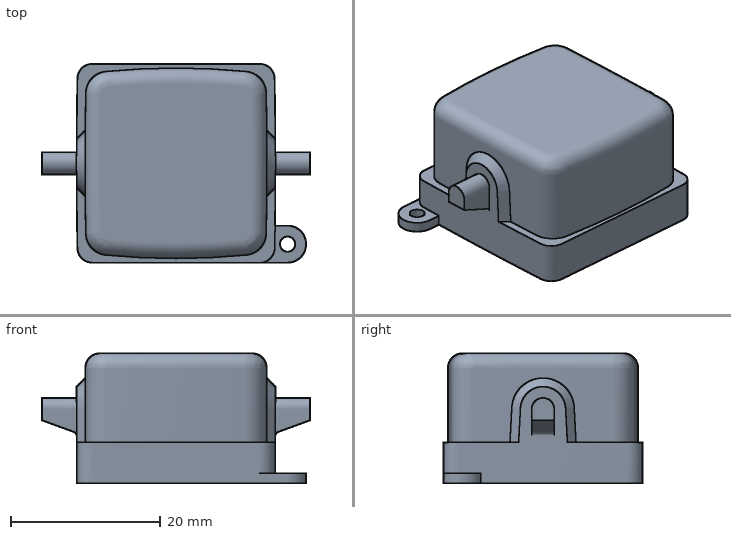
import cadquery as cq
import math

total_length = 36.0
total_height = 17.5

base_width = 26.7
base_depth = 26.7
base_height = 5.5
base_side_bulge = 0.15
base_corner_radius = 2.0

cap_width = 24.4
cap_depth = 25.55
cap_side_bulge = 0.15
cap_front_bulge = 0.75
cap_corner_radius = 3.0
cap_edge_radius = 2.0

tab_thickness = 1.4
tab_width = 5.0
tab_hole_offset = 14.98
tab_hole_diameter = 2.0

outlet_height = 9.97
cable_radius = 1.5
web_root_height = 6.75
web_root_fillet = 0.55
web_wall_inset = 0.018
boss_radius = 3.02
boss_draft = math.radians(3)
boss_flare_angle = 45
boss_bottom = base_height / 2
boss_overlap = 0.35
boss_depth = (base_width - cap_width) / 2 + boss_overlap


def bulged_block(width, depth, side_bulge, front_bulge, height, corner_radius):
    """Rounded block whose sides are shallow arcs, measured across their crowns."""
    crown_x = width / 2
    crown_y = depth / 2
    corner_x = crown_x - side_bulge
    corner_y = crown_y - front_bulge
    outline = cq.Workplane("XY").moveTo(-corner_x, -corner_y)
    if front_bulge:
        outline = outline.threePointArc((0, -crown_y), (corner_x, -corner_y))
    else:
        outline = outline.lineTo(corner_x, -corner_y)
    outline = outline.threePointArc((crown_x, 0), (corner_x, corner_y))
    if front_bulge:
        outline = outline.threePointArc((0, crown_y), (-corner_x, corner_y))
    else:
        outline = outline.lineTo(-corner_x, corner_y)
    outline = outline.threePointArc((-crown_x, 0), (-corner_x, -corner_y)).close()
    return outline.extrude(height).edges("|Z").fillet(corner_radius)


def base_block(height):
    return bulged_block(base_width, base_depth, base_side_bulge, 0, height, base_corner_radius)


def make_cap():
    cap = bulged_block(
        cap_width, cap_depth, cap_side_bulge, cap_front_bulge, total_height, cap_corner_radius
    )
    return cap.faces(">Z").edges().fillet(cap_edge_radius)


def make_tab():
    center_y = (tab_width - base_depth) / 2
    strip = (
        cq.Workplane("XY")
        .center(tab_hole_offset / 2, center_y)
        .rect(tab_hole_offset, tab_width)
        .extrude(tab_thickness)
    )
    end = cq.Workplane("XY").center(tab_hole_offset, center_y).circle(tab_width / 2).extrude(tab_thickness)
    return strip.union(end).faces(">Z").workplane(origin=(tab_hole_offset, center_y)).hole(tab_hole_diameter)


def make_boss():
    """Arched boss on the +X side, flaring towards the cap and flush with the base."""
    tangent_y = boss_radius * math.cos(boss_draft)
    tangent_z = outlet_height + boss_radius * math.sin(boss_draft)
    foot_y = tangent_y + (tangent_z - boss_bottom) * math.tan(boss_draft)
    flared = (
        cq.Workplane("YZ", origin=(base_width / 2, 0, 0))
        .moveTo(-foot_y, boss_bottom)
        .lineTo(-tangent_y, tangent_z)
        .threePointArc((0, outlet_height + boss_radius), (tangent_y, tangent_z))
        .lineTo(foot_y, boss_bottom)
        .close()
        .extrude(-boss_depth, taper=-boss_flare_angle)
    )
    return flared.intersect(base_block(total_height))


def make_cable():
    """Round-topped cable stub on the +X side with a sloping web below it."""
    start_x = base_width / 2 - boss_depth
    wall_x = base_width / 2 - web_wall_inset
    end_x = total_length / 2
    cable = (
        cq.Workplane("YZ", origin=(start_x, 0, 0))
        .center(0, outlet_height)
        .circle(cable_radius)
        .extrude(end_x - start_x)
    )
    web = (
        cq.Workplane("XZ")
        .moveTo(start_x, outlet_height)
        .lineTo(end_x, outlet_height)
        .lineTo(end_x, outlet_height - cable_radius)
        .lineTo(wall_x, web_root_height)
        .lineTo(wall_x, base_height)
        .lineTo(start_x, base_height)
        .close()
        .extrude(cable_radius, both=True)
        .edges(cq.selectors.NearestToPointSelector((wall_x, 0, web_root_height)))
        .fillet(web_root_fillet)
    )
    return cable.union(web)


outlet = make_boss().union(make_cable())
result = base_block(base_height).union(make_cap()).union(make_tab())
result = result.union(outlet).union(outlet.mirror("YZ"))